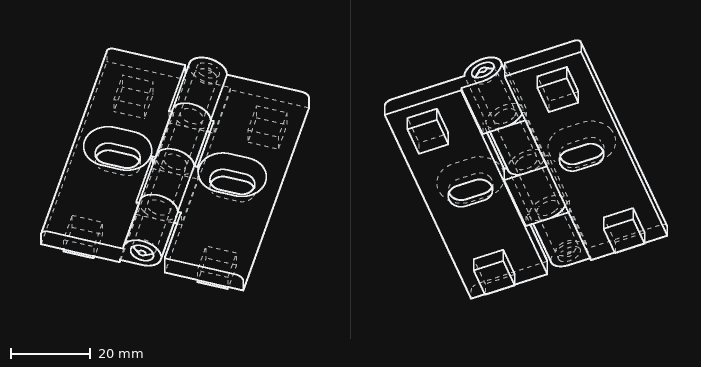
import cadquery as cq
import math


hinge_length = 60.0
hinge_width = 53.0
hinge_height = 16.0

leaf_thickness = 6.0
edge_radius = 2.0
barrel_diameter = 10.0
barrel_radius = barrel_diameter / 2
notch_reach = 5.9
knuckle_count = 4
knuckle_length = hinge_length / knuckle_count

slot_offset = 15.0
slot_straight = 5.0
slot_width = 6.5
countersink_width = 12.35
countersink_taper = 45.0
countersink_depth = (countersink_width - slot_width) / 2 / math.tan(math.radians(countersink_taper))

pin_diameter = 6.0
pin_tip_diameter = 2.0
pin_cone_length = (pin_diameter - pin_tip_diameter) / 2

foot_size = 8.0
foot_side_inset = 5.0
foot_end_inset = 3.0
foot_height = hinge_height - barrel_radius - leaf_thickness


def extrude_along_y(profile, start, length):
    """Extrude a face outline drawn in XZ from Y = start towards +Y."""
    return profile.extrude(-length).translate((0, start, 0))


def make_plate():
    """Flat leaf on the -X side, with its outer top edge rounded."""
    plate_width = hinge_width / 2 - notch_reach
    plate = cq.Workplane("XY").box(
        plate_width, hinge_length, leaf_thickness, centered=(False, True, False)
    )
    plate = plate.translate((-hinge_width / 2, 0, -leaf_thickness))
    return plate.edges("<X and >Z").fillet(edge_radius)


def make_knuckle(start):
    """Barrel joined to the plate by a web whose flat underside is tangent to the barrel."""
    arc_middle = barrel_radius * math.sqrt(0.5)
    profile = (
        cq.Workplane("XZ")
        .moveTo(-notch_reach, 0)
        .lineTo(-barrel_radius, 0)
        .threePointArc((0, barrel_radius), (barrel_radius, 0))
        .threePointArc((arc_middle, -arc_middle), (0, -barrel_radius))
        .lineTo(-notch_reach, -barrel_radius)
        .close()
    )
    return extrude_along_y(profile, start, knuckle_length)


def make_slot_cutter():
    """Through slot with a tapered countersink opening at the leaf top."""
    through = (
        cq.Workplane("XY")
        .slot2D(slot_straight + slot_width, slot_width)
        .extrude(-leaf_thickness)
    )
    countersink = (
        cq.Workplane("XY")
        .slot2D(slot_straight + countersink_width, countersink_width)
        .extrude(-countersink_depth, taper=countersink_taper)
    )
    return through.union(countersink).translate((-slot_offset, 0, 0))


def make_leaf():
    """Leaf on the -X side, carrying every second knuckle from the -Y end."""
    leaf = make_plate()
    for index in range(0, knuckle_count, 2):
        leaf = leaf.union(make_knuckle(-hinge_length / 2 + index * knuckle_length))
    bore = extrude_along_y(
        cq.Workplane("XZ").circle(pin_diameter / 2), -hinge_length / 2, hinge_length
    )
    return leaf.cut(bore).cut(make_slot_cutter()).solids()


def make_pin():
    """Pin with a blunt cone at each end, the tips flush with the leaf ends."""
    tip_end = hinge_length / 2
    cone_base = tip_end - pin_cone_length
    return (
        cq.Workplane("XY")
        .moveTo(0, -tip_end)
        .lineTo(pin_tip_diameter / 2, -tip_end)
        .lineTo(pin_diameter / 2, -cone_base)
        .lineTo(pin_diameter / 2, cone_base)
        .lineTo(pin_tip_diameter / 2, tip_end)
        .lineTo(0, tip_end)
        .close()
        .revolve(360, (0, 0, 0), (0, 1, 0))
    )


def make_foot(x, y):
    """Square block on the underside of a leaf, centred at (x, y)."""
    foot = cq.Workplane("XY").rect(foot_size, foot_size).extrude(-foot_height)
    return foot.translate((x, y, -leaf_thickness))


left_leaf = make_leaf()
right_leaf = left_leaf.rotate((0, 0, 0), (0, 0, 1), 180)
pin = make_pin()

foot_x = hinge_width / 2 - foot_side_inset - foot_size / 2
foot_y = hinge_length / 2 - foot_end_inset - foot_size / 2
feet = [make_foot(x, y) for x in (-foot_x, foot_x) for y in (-foot_y, foot_y)]

result = cq.Compound.makeCompound(
    [left_leaf.val(), right_leaf.val(), pin.val(), *[foot.val() for foot in feet]]
)